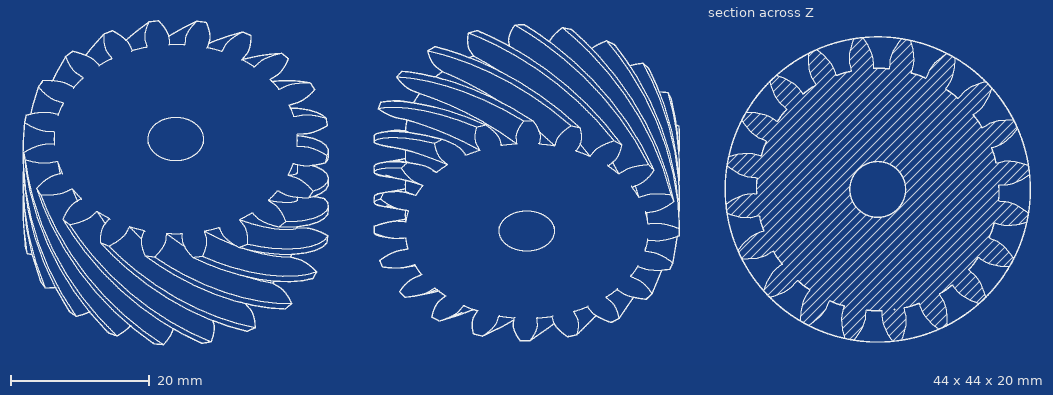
import cadquery as cq
import math


outer_diameter = 44.0
tooth_count = 20
pressure_angle = math.radians(20)
helix_angle = math.radians(45)
face_width = 20.0
bore_diameter = 8.0
dedendum_factor = 1.25
flank_point_count = 6

module = outer_diameter / (tooth_count + 2)
outer_radius = outer_diameter / 2
pitch_radius = module * tooth_count / 2
root_radius = pitch_radius - dedendum_factor * module
base_radius = pitch_radius * math.cos(pressure_angle)

tooth_pitch = 2 * math.pi / tooth_count
twist = face_width * math.tan(helix_angle) / pitch_radius


def polar(radius, angle):
    return (radius * math.cos(angle), radius * math.sin(angle))


def involute(angle):
    return math.tan(angle) - angle


def half_tooth_angle(radius):
    """Half the angular thickness of a tooth at a radius on its involute flank."""
    at_base = tooth_pitch / 4 + involute(pressure_angle)
    return at_base - involute(math.acos(min(1.0, base_radius / radius)))


def flank_radii():
    """Radii from base to tip, spaced evenly along the involute's roll angle."""
    tip_roll = math.sqrt((outer_radius / base_radius) ** 2 - 1)
    rolls = [tip_roll * i / (flank_point_count - 1) for i in range(flank_point_count)]
    return [base_radius * math.sqrt(1 + roll**2) for roll in rolls]


def gear_outline():
    """Closed tooth outline, with one tooth centred on +X and radial flanks below the base circle."""
    radii = flank_radii()
    root_half_angle = half_tooth_angle(base_radius)
    outline = cq.Workplane("XY").moveTo(*polar(root_radius, -root_half_angle))
    for tooth in range(tooth_count):
        centre = tooth * tooth_pitch
        rising_flank = [polar(r, centre - half_tooth_angle(r)) for r in radii]
        falling_flank = [polar(r, centre + half_tooth_angle(r)) for r in reversed(radii)]
        next_root = centre + tooth_pitch - root_half_angle

        outline = outline.lineTo(*rising_flank[0])
        outline = outline.spline(rising_flank[1:], includeCurrent=True)
        outline = outline.threePointArc(polar(outer_radius, centre), falling_flank[0])
        outline = outline.spline(falling_flank[1:], includeCurrent=True)
        outline = outline.lineTo(*polar(root_radius, centre + root_half_angle))
        outline = outline.threePointArc(
            polar(root_radius, centre + tooth_pitch / 2), polar(root_radius, next_root)
        )
    return outline.close()


gear = gear_outline().twistExtrude(face_width, -math.degrees(twist))
bore = cq.Workplane("XY").circle(bore_diameter / 2).extrude(face_width)
result = gear.cut(bore)